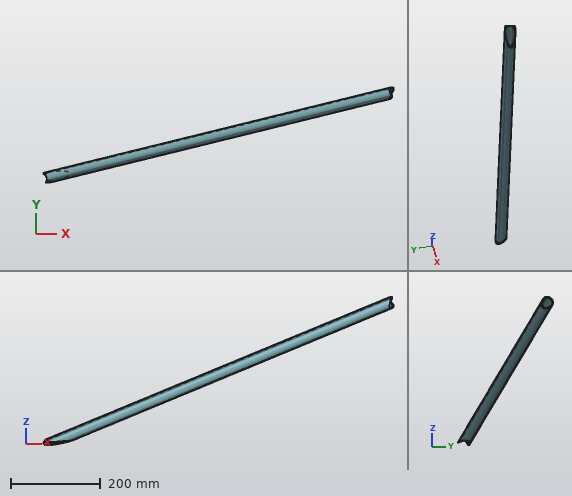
import cadquery as cq
import math

TUBE_DIAMETER = 25.0
TUBE_WALL = 2.0
SPAN_X = 784.7
SPAN_Y = 193.0
SPAN_Z = 324.8

JOINT_ANGLE = 29.0

COPE_RADIUS = 13.8
LOWER_HEADING = 8.5
LOWER_RISE = 0.0
UPPER_HEADING = 90.0
UPPER_RISE = 41.5

UPRIGHT_OFFSET = 5.5

END_ALLOWANCE = 15.0
CUTTER_HALF_LENGTH = 90.0

UP = cq.Vector(0, 0, 1)
SPAN = cq.Vector(SPAN_X, SPAN_Y, SPAN_Z)
AXIS = SPAN.normalized()
LOWER_NODE = SPAN * -0.5
UPPER_NODE = SPAN * 0.5


def direction(heading, rise):
    """Unit vector with the given heading and rise in degrees."""
    heading = math.radians(heading)
    rise = math.radians(rise)
    level = math.cos(rise)
    return cq.Vector(level * math.cos(heading), level * math.sin(heading), math.sin(rise))


def section_plane():
    """Plane square to the tube at its lower end, with its x axis pointing at a joint."""
    top_side = (UP - AXIS * AXIS.dot(UP)).normalized()
    cross_side = AXIS.cross(top_side)
    turn = math.radians(JOINT_ANGLE)
    joint_side = top_side * math.cos(turn) + cross_side * math.sin(turn)
    return cq.Plane(origin=LOWER_NODE - AXIS * END_ALLOWANCE, xDir=joint_side, normal=AXIS)


def bar(radius):
    """Solid bar along the tube axis, its surface split into two halves."""
    length = SPAN.Length + 2 * END_ALLOWANCE
    outline = (
        cq.Workplane(section_plane())
        .moveTo(radius, 0)
        .threePointArc((0, radius), (-radius, 0))
        .threePointArc((0, -radius), (radius, 0))
        .close()
    )
    return outline.extrude(length, clean=False).val()


def cope_cutter(node, toward):
    """Round cutter centred on a node and running along the tube met there."""
    start = node - toward * CUTTER_HALF_LENGTH
    return cq.Solid.makeCylinder(COPE_RADIUS, 2 * CUTTER_HALF_LENGTH, start, toward)


def coped_tube():
    """Hollow tube with both ends trimmed; the scraps beyond the copes are dropped."""
    outer_radius = TUBE_DIAMETER / 2
    tube = bar(outer_radius).cut(bar(outer_radius - TUBE_WALL))
    cutters = (
        cope_cutter(LOWER_NODE, direction(LOWER_HEADING, LOWER_RISE)),
        cope_cutter(UPPER_NODE, direction(UPPER_HEADING, UPPER_RISE)),
        cope_cutter(LOWER_NODE - AXIS * UPRIGHT_OFFSET, UP),
    )
    for cutter in cutters:
        tube = tube.cut(cutter)
    return max(tube.Solids(), key=lambda piece: piece.Volume())


tube = coped_tube()
result = cq.Workplane(tube.translate(tube.BoundingBox().center * -1))